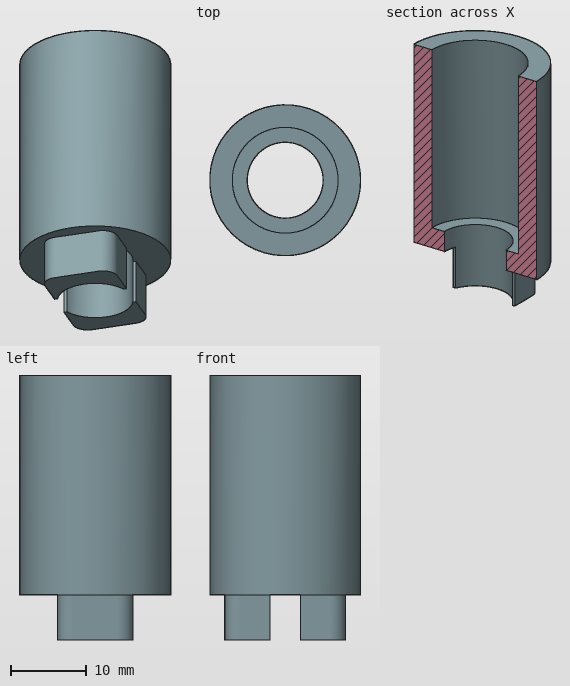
import cadquery as cq

total_height = 35.0
outer_diameter = 20.0
bore_diameter = 14.0
through_diameter = 10.0

lug_height = 6.0
lug_span = 16.0
lug_width = through_diameter
lug_gap = 4.0
lug_corner_radius = 2.0

floor_thickness = (outer_diameter - bore_diameter) / 2
body_height = total_height - lug_height
bore_depth = body_height - floor_thickness


def make_sleeve():
    """Cylinder standing on top of the lugs."""
    return (
        cq.Workplane("XY")
        .workplane(offset=lug_height)
        .circle(outer_diameter / 2)
        .extrude(body_height)
    )


def make_lugs():
    """Rounded block split into two lugs by a gap running along Y."""
    block = (
        cq.Workplane("XY")
        .rect(lug_span, lug_width)
        .extrude(lug_height)
        .edges("|Z")
        .fillet(lug_corner_radius)
    )
    gap = cq.Workplane("XY").rect(lug_gap, outer_diameter).extrude(lug_height)
    return block.cut(gap)


def make_stepped_bore():
    """Wide bore from the top, narrowing to a hole through floor and lugs."""
    through_hole = cq.Workplane("XY").circle(through_diameter / 2).extrude(total_height)
    wide_bore = (
        cq.Workplane("XY")
        .workplane(offset=total_height - bore_depth)
        .circle(bore_diameter / 2)
        .extrude(bore_depth)
    )
    return through_hole.union(wide_bore)


result = make_sleeve().union(make_lugs()).cut(make_stepped_bore())